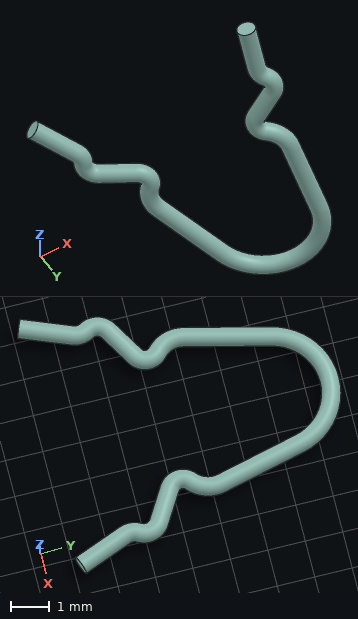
import math

import cadquery as cq


wire_diameter = 0.51
loop_radius = 1.532
shoulder_radius = 0.77
waist_radius = 0.36
hip_radius = 0.405
ankle_radius = 0.43

side_heading = 13.7
waist_heading = -49.0
step_heading = 58.9
ankle_heading = -30.7
foot_heading = 21.5

side_length = 2.28
step_length = 0.968
foot_length = 1.408

apex_heading = 90.0
leg_bends = [
    (loop_radius, side_heading, side_length),
    (shoulder_radius, waist_heading, 0),
    (waist_radius, step_heading, step_length),
    (hip_radius, ankle_heading, 0),
    (ankle_radius, foot_heading, foot_length),
]


def bend_offset(radius, start_heading, end_heading):
    """Displacement along a tangent arc that turns from one heading to another."""
    turn = math.copysign(1, end_heading - start_heading)
    start = math.radians(start_heading)
    end = math.radians(end_heading)
    dx = turn * radius * (math.cos(start) - math.cos(end))
    dy = turn * radius * (math.sin(start) - math.sin(end))
    return dx, dy


def leg_axis():
    """Wire axis of the +X leg, from the loop apex to the foot."""
    x, y = 0, loop_radius
    heading = apex_heading
    axis = cq.Workplane("XY").moveTo(x, y)
    for radius, next_heading, straight in leg_bends:
        mid_dx, mid_dy = bend_offset(radius, heading, (heading + next_heading) / 2)
        end_dx, end_dy = bend_offset(radius, heading, next_heading)
        middle = (x + mid_dx, y + mid_dy)
        x += end_dx
        y += end_dy
        axis = axis.threePointArc(middle, (x, y))
        heading = next_heading
        if straight > 0:
            x += straight * math.sin(math.radians(heading))
            y -= straight * math.cos(math.radians(heading))
            axis = axis.lineTo(x, y)
    return axis


def clip_axis():
    """Wire axis of the whole clip: the +X leg joined to its mirror image at the loop apex."""
    leg = leg_axis().wire().val()
    return cq.Wire.combine([leg, leg.mirror("YZ")])[0]


def bent_wire():
    """Round wire section set square on the +X foot and swept along the whole axis."""
    foot_end = leg_axis().vertices("<Y").val().toTuple()
    foot_angle = math.radians(foot_heading)
    into_wire = (-math.sin(foot_angle), math.cos(foot_angle), 0)
    outward = (math.cos(foot_angle), math.sin(foot_angle), 0)
    section_plane = cq.Plane(origin=foot_end, xDir=outward, normal=into_wire)
    section = cq.Workplane(section_plane).circle(wire_diameter / 2)
    return section.sweep(cq.Workplane(clip_axis()))


result = bent_wire()